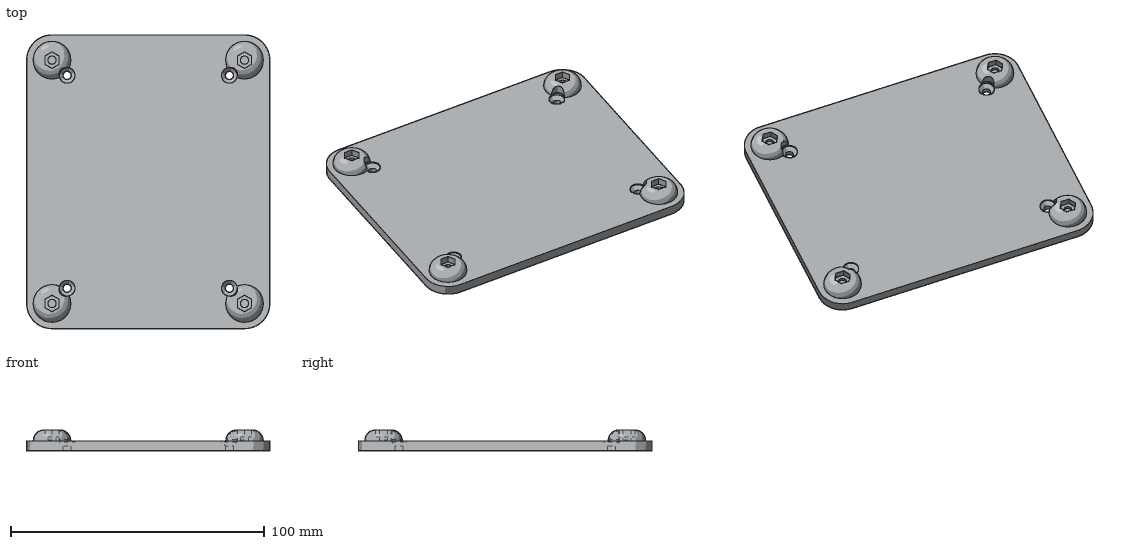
import cadquery as cq
import math

plate_width = 96.0
plate_length = 116.0
plate_thickness = 4.0
corner_radius = 10.0

overall_height = 8.2
head_height = overall_height - plate_thickness
head_radius = 7.4
screw_spacing_x = 76.0
screw_spacing_y = 96.0
socket_flat_width = 5.7
socket_corner_diameter = socket_flat_width / math.cos(math.pi / 6)
socket_depth = 2.8
pilot_diameter = 3.2
pilot_depth = 1.2
crown_clearance = 0.06
crown_radius = socket_corner_diameter / 2 + crown_clearance

mount_spacing_x = 64.0
mount_spacing_y = 84.0
mount_hole_diameter = 3.1
countersink_diameter = 6.1
countersink_angle = 90.0
sink_recess = 0.5

relief_diameter = 5.3
relief_offset = 0.52
relief_lift = 0.5


def corner_points(spacing_x, spacing_y):
    """Four points on a rectangle centred on the plate."""
    return [(sx * spacing_x / 2, sy * spacing_y / 2) for sx in (-1, 1) for sy in (-1, 1)]


def make_plate():
    return (
        cq.Workplane("XY")
        .rect(plate_width, plate_length)
        .extrude(plate_thickness)
        .edges("|Z")
        .fillet(corner_radius)
    )


def make_head():
    """Domed head standing on z = 0, with a hexagon socket and a pilot hole in its floor."""
    arc_center = (head_radius**2 - crown_radius**2 - head_height**2) / (2 * (head_radius - crown_radius))
    arc_radius = head_radius - arc_center
    middle_angle = math.atan2(head_height, crown_radius - arc_center) / 2
    arc_middle = (
        arc_center + arc_radius * math.cos(middle_angle),
        arc_radius * math.sin(middle_angle),
    )
    dome = (
        cq.Workplane("XZ")
        .lineTo(head_radius, 0)
        .threePointArc(arc_middle, (crown_radius, head_height))
        .lineTo(0, head_height)
        .close()
        .revolve(360, (0, 0, 0), (0, 1, 0))
    )
    socket = (
        cq.Workplane("XY")
        .workplane(offset=head_height - socket_depth)
        .transformed(rotate=(0, 0, 90))
        .polygon(6, socket_corner_diameter)
        .extrude(socket_depth)
    )
    pilot = (
        cq.Workplane("XY")
        .workplane(offset=head_height - socket_depth - pilot_depth)
        .circle(pilot_diameter / 2)
        .extrude(pilot_depth)
    )
    return dome.cut(socket).cut(pilot)


def make_mount_cutter():
    """Through hole and countersink, carried straight up so that it bites into the screw head."""
    hole_radius = mount_hole_diameter / 2
    sink_radius = countersink_diameter / 2
    sink_depth = (sink_radius - hole_radius) / math.tan(math.radians(countersink_angle / 2))
    sink_top = plate_thickness - sink_recess
    return (
        cq.Workplane("XZ")
        .lineTo(hole_radius, 0)
        .lineTo(hole_radius, sink_top - sink_depth)
        .lineTo(sink_radius, sink_top)
        .lineTo(sink_radius, overall_height)
        .lineTo(0, overall_height)
        .close()
        .revolve(360, (0, 0, 0), (0, 1, 0))
    )


def make_relief_cutter():
    """Narrower round cut that deepens the bite in the screw head just above the plate top."""
    return (
        cq.Workplane("XY")
        .workplane(offset=plate_thickness + relief_lift)
        .circle(relief_diameter / 2)
        .extrude(head_height - relief_lift)
    )


result = make_plate()

head = make_head()
for x, y in corner_points(screw_spacing_x, screw_spacing_y):
    result = result.union(head.translate((x, y, plate_thickness)))

mount_cutter = make_mount_cutter()
relief_cutter = make_relief_cutter()
for x, y in corner_points(mount_spacing_x, mount_spacing_y):
    relief_x = x + math.copysign(relief_offset, x)
    relief_y = y + math.copysign(relief_offset, y)
    result = result.cut(mount_cutter.translate((x, y, 0)))
    result = result.cut(relief_cutter.translate((relief_x, relief_y, 0)))